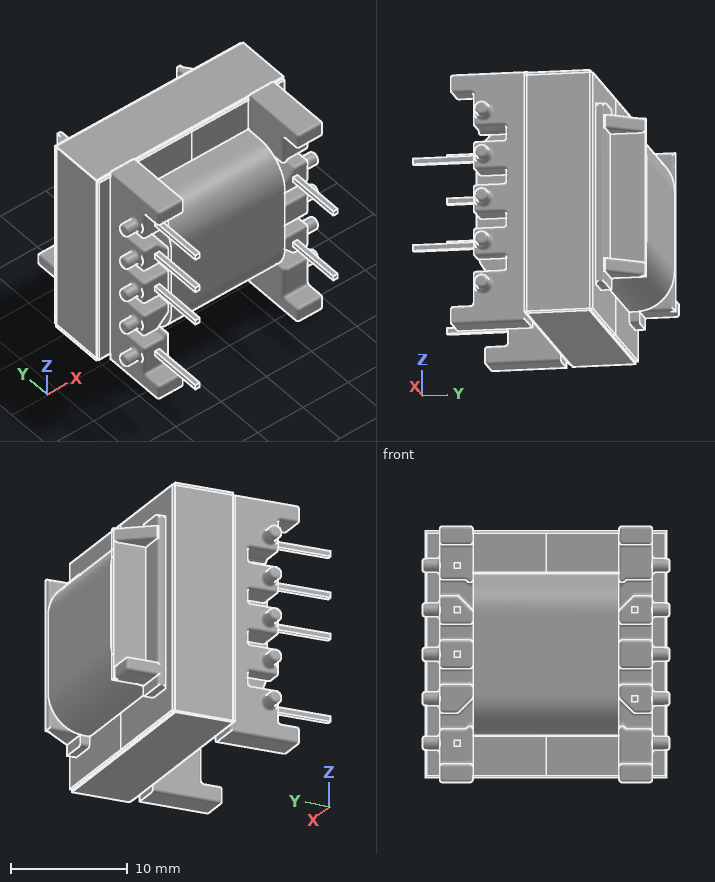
import cadquery as cq


CORE_WIDTH = 20.5
CORE_HEIGHT = 20.8
CORE_THICKNESS = 6.0
WINDOW_HALF_X = 7.0
WINDOW_HALF_Z = 7.0
POST_HEIGHT = 5.9
CORE_FACE_Y = CORE_THICKNESS / 2

TAPE_WIDTH = 5.5
TAPE_THICKNESS_X = 0.09
TAPE_THICKNESS_Z = 0.2

WINDING_LENGTH = 12.52
WINDING_HEIGHT = 13.9
WINDING_FRONT_Y = -7.94
WINDING_BACK_Y = 6.94
WINDING_RADIUS = 3.4

TUBE_WALL = 0.8
FLANGE_INNER_X = WINDING_LENGTH / 2
FLANGE_THICKNESS = 0.55
FLANGE_HEIGHT = WINDING_HEIGHT
BLOCK_OUTER_X = 9.13
BLOCK_DEPTH_X = BLOCK_OUTER_X - FLANGE_INNER_X
EDGE_RADIUS = 0.27

BLOCK_HALF_Z = 11.0
BLOCK_FRONT_Y = -7.68
FOOT_TIP_Y = -9.68
FOOT_THICKNESS = 1.6
PIN_PITCH = 3.81
SLOT_WIDTH = 1.35
SLOT_FLOOR_Y = -4.8
END_SLOT_Z = 1.5 * PIN_PITCH
SLOT_OVERRUN = 1.0
UPPER_BEND_X = 6.87
LOWER_BEND_X = 7.55

PEG_RADIUS = 0.6
PEG_TIP_X = 10.61
PEG_Y = -6.7
PEG_ROWS = (-2, -1, 0, 1, 2)
PEG_TIP_RADIUS = 0.27
PEG_ROOT_RADIUS = 0.27

PIN_SIZE = 0.5
PIN_X = 7.62
PIN_TIP_Y = -13.18
LEFT_PIN_ROWS = (-2, 0, 1, 2)
RIGHT_PIN_ROWS = (-1, 1)

BASE_HALF_Z = 7.95
BASE_BACK_Y = 3.88
RIB_THICKNESS = 1.27
TAB_BACK_Y = 6.83


def box(x0, x1, y0, y1, z0, z1):
    """Axis-aligned box between two corners."""
    return cq.Workplane("XY").box(x1 - x0, y1 - y0, z1 - z0, centered=False).translate((x0, y0, z0))


def right_core():
    """The E-shaped core half on the +X side."""
    half = box(0, CORE_WIDTH / 2, -CORE_FACE_Y, CORE_FACE_Y, -CORE_HEIGHT / 2, CORE_HEIGHT / 2)
    for low, high in ((POST_HEIGHT / 2, WINDOW_HALF_Z), (-WINDOW_HALF_Z, -POST_HEIGHT / 2)):
        half = half.cut(box(0, WINDOW_HALF_X, -CORE_FACE_Y, CORE_FACE_Y, low, high))
    return half


def make_tape():
    """Rectangular band around the core."""
    outer_x = CORE_WIDTH + 2 * TAPE_THICKNESS_X
    outer_z = CORE_HEIGHT + 2 * TAPE_THICKNESS_Z
    outer = cq.Workplane("XY").box(outer_x, TAPE_WIDTH, outer_z)
    return outer.cut(cq.Workplane("XY").box(CORE_WIDTH, TAPE_WIDTH, CORE_HEIGHT))


def tube_block():
    """Outside of the bobbin tube that carries the winding."""
    return cq.Workplane("XY").box(
        2 * FLANGE_INNER_X, CORE_THICKNESS + 2 * TUBE_WALL, POST_HEIGHT + 2 * TUBE_WALL)


def make_winding():
    """Rounded block of wire around the bobbin tube."""
    depth = WINDING_BACK_Y - WINDING_FRONT_Y
    middle_y = (WINDING_BACK_Y + WINDING_FRONT_Y) / 2
    body = cq.Workplane("XY").box(WINDING_LENGTH, depth, WINDING_HEIGHT).edges("|X").fillet(WINDING_RADIUS)
    return body.translate((0, middle_y, 0)).cut(tube_block())


def straight_slot(z):
    """Wire slot through a terminal block, centered at height z."""
    return box(FLANGE_INNER_X - SLOT_OVERRUN, BLOCK_OUTER_X + SLOT_OVERRUN, FOOT_TIP_Y, SLOT_FLOOR_Y,
               z - SLOT_WIDTH / 2, z + SLOT_WIDTH / 2)


def end_slot():
    """Uppermost wire slot, whose inner end turns toward the middle of the winding."""
    top = END_SLOT_Z + SLOT_WIDTH / 2
    bottom = top - SLOT_WIDTH
    inner_x = FLANGE_INNER_X - SLOT_OVERRUN
    points = [
        (BLOCK_OUTER_X + SLOT_OVERRUN, bottom),
        (BLOCK_OUTER_X + SLOT_OVERRUN, top),
        (UPPER_BEND_X, top),
        (inner_x, top - (UPPER_BEND_X - inner_x)),
        (inner_x, bottom - (LOWER_BEND_X - inner_x)),
        (LOWER_BEND_X, bottom),
    ]
    return (cq.Workplane("XZ").polyline(points).close().extrude(SLOT_FLOOR_Y - FOOT_TIP_Y)
            .translate((0, SLOT_FLOOR_Y, 0)))


def terminal_block():
    """Front block of the +X side, with feet at both ends and wire slots between the pins."""
    foot_z = BLOCK_HALF_Z - FOOT_THICKNESS
    profile = [
        (-CORE_FACE_Y, -BLOCK_HALF_Z),
        (FOOT_TIP_Y, -BLOCK_HALF_Z),
        (FOOT_TIP_Y, -foot_z),
        (BLOCK_FRONT_Y, -foot_z),
        (BLOCK_FRONT_Y, foot_z),
        (FOOT_TIP_Y, foot_z),
        (FOOT_TIP_Y, BLOCK_HALF_Z),
        (-CORE_FACE_Y, BLOCK_HALF_Z),
    ]
    block = (cq.Workplane("YZ").polyline(profile).close().extrude(BLOCK_DEPTH_X)
             .translate((FLANGE_INNER_X, 0, 0)))
    for z in (-PIN_PITCH / 2, PIN_PITCH / 2):
        block = block.cut(straight_slot(z))
    block = block.cut(end_slot()).cut(end_slot().mirror("XY"))
    core_side_edges = block.faces(">Y").edges().vals()
    edges = [e for e in block.edges().vals() if not any(e.isSame(c) for c in core_side_edges)]
    edges += block.faces(">Y").edges(">X").vals()
    return block.newObject(edges).fillet(EDGE_RADIUS)


def peg(z):
    """Wire peg of the +X side: rounded tip, flared root, and a collar sunk into the block."""
    root_radius = PEG_RADIUS + PEG_ROOT_RADIUS
    profile = (
        cq.Workplane("XZ")
        .moveTo(BLOCK_OUTER_X - EDGE_RADIUS, 0)
        .lineTo(BLOCK_OUTER_X - EDGE_RADIUS, root_radius)
        .lineTo(BLOCK_OUTER_X, root_radius)
        .radiusArc((BLOCK_OUTER_X + PEG_ROOT_RADIUS, PEG_RADIUS), -PEG_ROOT_RADIUS)
        .lineTo(PEG_TIP_X - PEG_TIP_RADIUS, PEG_RADIUS)
        .radiusArc((PEG_TIP_X, PEG_RADIUS - PEG_TIP_RADIUS), PEG_TIP_RADIUS)
        .lineTo(PEG_TIP_X, 0)
        .close()
    )
    return profile.revolve(360, (0, 0, 0), (1, 0, 0)).translate((0, PEG_Y, z))


def back_base():
    """Back base of the +X side, resting on the core."""
    base = box(FLANGE_INNER_X, BLOCK_OUTER_X, CORE_FACE_Y, BASE_BACK_Y, -BASE_HALF_Z, BASE_HALF_Z)
    base = base.faces(">X").edges().fillet(EDGE_RADIUS)
    return base.edges("|Y and <X").fillet(EDGE_RADIUS)


def rib():
    """Triangular rib that braces the top of the flange on the +X side."""
    rib_top = FLANGE_HEIGHT / 2
    inner_x = FLANGE_INNER_X + EDGE_RADIUS
    points = [
        (inner_x, CORE_FACE_Y),
        (BLOCK_OUTER_X - EDGE_RADIUS, CORE_FACE_Y),
        (BLOCK_OUTER_X, BASE_BACK_Y),
        (FLANGE_INNER_X + FLANGE_THICKNESS, WINDING_BACK_Y),
        (inner_x, WINDING_BACK_Y),
    ]
    body = cq.Workplane("XY").polyline(points).close().extrude(RIB_THICKNESS)
    body = body.translate((0, 0, rib_top - RIB_THICKNESS))
    slope_point = (BLOCK_OUTER_X, WINDING_BACK_Y, rib_top - RIB_THICKNESS / 2)
    return body.faces(cq.NearestToPointSelector(slope_point)).edges("#Z").fillet(EDGE_RADIUS)


def tab():
    """Rectangular tab that takes the place of the lower rib on the -X side."""
    rib_top = FLANGE_HEIGHT / 2
    inner_x = FLANGE_INNER_X + EDGE_RADIUS
    body = box(-BLOCK_OUTER_X, -inner_x, CORE_FACE_Y, TAB_BACK_Y, -rib_top, RIB_THICKNESS - rib_top)
    return body.faces("<X or >Y").edges().fillet(EDGE_RADIUS)


def flange():
    """Thin plate that closes the +X end of the winding, rounded on its winding side."""
    plate = box(FLANGE_INNER_X, FLANGE_INNER_X + FLANGE_THICKNESS, -CORE_FACE_Y, WINDING_BACK_Y,
                -FLANGE_HEIGHT / 2, FLANGE_HEIGHT / 2)
    return plate.faces("<X").edges("|Y or >Y").fillet(EDGE_RADIUS)


def bobbin_side():
    """Everything the two ends of the bobbin share, built on the +X side."""
    side = flange().union(terminal_block()).union(back_base()).union(rib())
    for row in PEG_ROWS:
        side = side.union(peg(row * PIN_PITCH))
    return side


def pin(side, row):
    """Square terminal pin on the given side (-1 or 1) and row."""
    x = side * PIN_X
    z = row * PIN_PITCH
    half = PIN_SIZE / 2
    return box(x - half, x + half, PIN_TIP_Y, SLOT_FLOOR_Y, z - half, z + half)


def make_bobbin():
    """Tube, two flanged ends, pegs and pins as one molded body."""
    right_end = bobbin_side()
    left_end = right_end.mirror("YZ").union(tab())
    right_end = right_end.union(rib().mirror("XY"))
    bobbin = tube_block().union(left_end).union(right_end)
    for row in LEFT_PIN_ROWS:
        bobbin = bobbin.union(pin(-1, row))
    for row in RIGHT_PIN_ROWS:
        bobbin = bobbin.union(pin(1, row))
    post = cq.Workplane("XY").box(CORE_WIDTH, CORE_THICKNESS, POST_HEIGHT)
    return bobbin.cut(post)


core_right = right_core()
core_left = core_right.mirror("YZ")
tape = make_tape()
winding = make_winding()
bobbin = make_bobbin()

result = cq.Compound.makeCompound(
    [core_right.val(), core_left.val(), tape.val(), winding.val(), bobbin.val()])